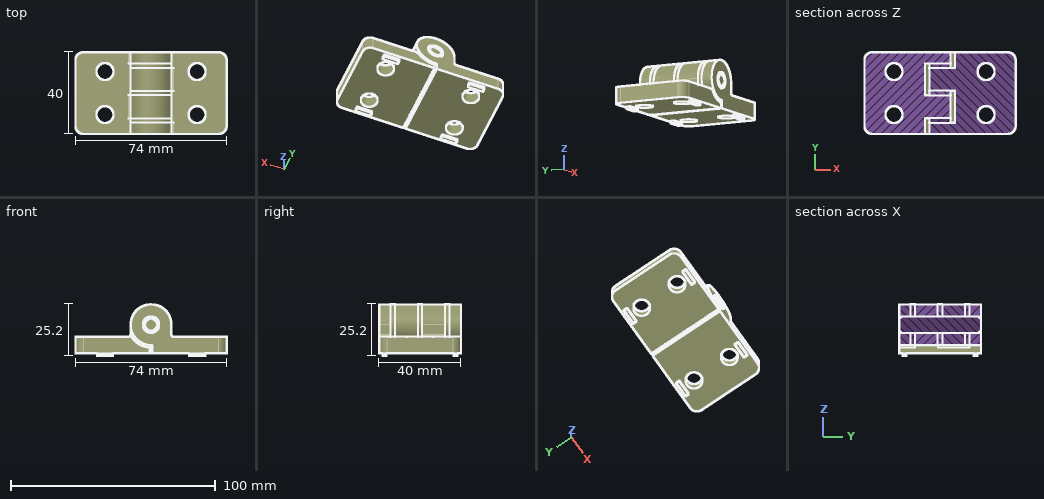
import cadquery as cq
import math


length = 74.0
width = 40.0
plate_thickness = 8.15
corner_radius = 4.0

axis_height = 14.0
barrel_radius = 10.0
barrel_clearance = 1.2
root_fillet = 1.0
leaf_gap = 1.2
washer_thickness = 2.1
washer_count = 3

pin_radius = 4.0
pin_chamfer = 1.0

hole_diameter = 8.2
hole_x = 22.5
hole_y = 10.5
lug_length = 8.0
lug_width = 2.0
lug_height = 1.25
lug_edge_inset = 1.6

half_length = length / 2
half_width = width / 2
half_gap = leaf_gap / 2
knuckle_width = (width - washer_count * washer_thickness) / 3
end_knuckle_width = knuckle_width / 2
pitch = knuckle_width + washer_thickness
recess_radius = barrel_radius + barrel_clearance
lug_y = half_width - lug_edge_inset - lug_width / 2
diagonal = math.cos(math.radians(45))


def cylinder_along_y(radius, y_start, y_end):
    """Solid cylinder on the pin axis between two Y positions."""
    return (
        cq.Workplane("XZ", origin=(0, y_start, axis_height))
        .circle(radius)
        .extrude(y_start - y_end)
    )


def make_plate():
    """Flat plate on the -X side with its two outer corners rounded."""
    plate_length = half_length - half_gap
    return (
        cq.Workplane("XY")
        .box(plate_length, width, plate_thickness, centered=(False, True, False))
        .translate((-half_length, 0, 0))
        .edges("|Z and <X")
        .fillet(corner_radius)
    )


def make_knuckle(y_start, y_end):
    """Knuckle of the -X leaf, filleted into its plate above and round the gap below."""
    barrel_bottom = axis_height - barrel_radius
    gap_round_centre = barrel_bottom - half_gap
    gap_round_middle = half_gap * diagonal
    fillet_centre_x = -barrel_radius - root_fillet
    fillet_centre_z = plate_thickness + root_fillet
    fillet_middle = root_fillet * diagonal
    barrel_middle = barrel_radius * diagonal
    return (
        cq.Workplane("XZ", origin=(0, y_start, 0))
        .moveTo(-half_gap, 0)
        .lineTo(-half_gap, gap_round_centre)
        .threePointArc((-gap_round_middle, gap_round_centre + gap_round_middle), (0, barrel_bottom))
        .threePointArc((barrel_middle, axis_height + barrel_middle), (-barrel_radius, axis_height))
        .lineTo(-barrel_radius, fillet_centre_z)
        .threePointArc(
            (fillet_centre_x + fillet_middle, fillet_centre_z - fillet_middle),
            (fillet_centre_x, plate_thickness),
        )
        .lineTo(fillet_centre_x, 0)
        .close()
        .extrude(y_start - y_end)
    )


def make_leaf():
    """Leaf on the -X side: plate, two knuckles, screw holes and locating lugs."""
    end_knuckle = (half_width - end_knuckle_width, half_width)
    middle_knuckle = (-washer_thickness / 2 - knuckle_width, -washer_thickness / 2)

    leaf = make_plate().cut(cylinder_along_y(recess_radius, -half_width, half_width))
    for y_start, y_end in (end_knuckle, middle_knuckle):
        leaf = leaf.union(make_knuckle(y_start, y_end))
    leaf = leaf.cut(cylinder_along_y(pin_radius, -half_width, half_width))

    holes = (
        cq.Workplane("XY")
        .pushPoints([(-hole_x, -hole_y), (-hole_x, hole_y)])
        .circle(hole_diameter / 2)
        .extrude(plate_thickness)
    )
    lugs = (
        cq.Workplane("XY")
        .pushPoints([(-hole_x, -lug_y), (-hole_x, lug_y)])
        .rect(lug_length, lug_width)
        .extrude(-lug_height)
    )
    return leaf.cut(holes).union(lugs)


def make_washer(y_centre):
    """Ring that fills the space between two neighbouring knuckles."""
    y_start = y_centre - washer_thickness / 2
    y_end = y_centre + washer_thickness / 2
    return cylinder_along_y(barrel_radius, y_start, y_end).cut(
        cylinder_along_y(pin_radius, y_start, y_end)
    )


def make_pin():
    """Pin flush with the ends of the barrel and chamfered at both ends."""
    return cylinder_along_y(pin_radius, -half_width, half_width).faces("<Y or >Y").chamfer(pin_chamfer)


leaves = [make_leaf().rotate((0, 0, 0), (0, 0, 1), angle) for angle in (0, 180)]
washers = [make_washer(y_centre) for y_centre in (-pitch, 0, pitch)]
pin = make_pin()

result = cq.Compound.makeCompound([body.val() for body in (*leaves, *washers, pin)])